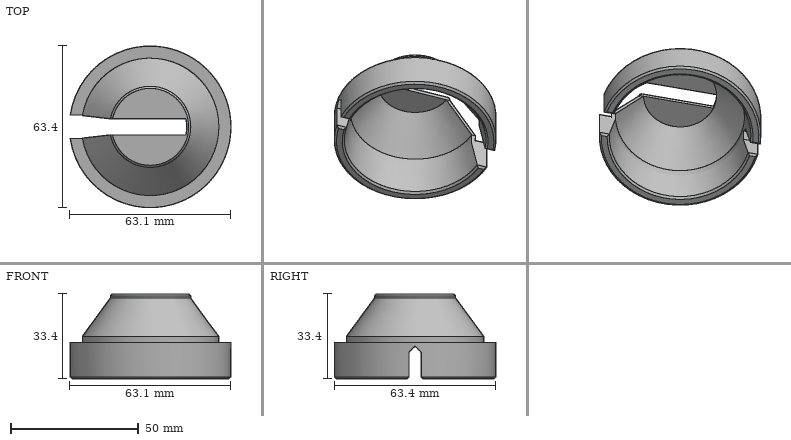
import cadquery as cq

ring_top = 14.35
collar_top = 16.7
cone_top = 31.7
cap_top = 33.35
bore_top = 12.8
edge_chamfer = 0.8

ring_radius = 31.7
collar_radius = 26.95
cap_radius = 15.9
wall = 1.6
collar_bore_radius = collar_radius - wall
neck_bore_radius = cap_radius - wall
bore_mouth_radius = 27.8

slot_half_width = 4.7
slot_top_half_width = 3.1
notch_half_width = 2.35
notch_peak = bore_top
notch_shoulder = notch_peak - notch_half_width


def revolved(profile):
    """Turn an (R, Z) outline about the Z axis."""
    return cq.Workplane("XZ").polyline(profile).close().revolve(360, (0, 0), (0, 1))


def radial_cut(outline, direction):
    """Extrude a (Y, Z) outline from the axis past the rim; direction is +1 or -1 along X."""
    return cq.Workplane("YZ").polyline(outline).close().extrude(direction * 2 * ring_radius)


def entry_slot():
    """Straight slot that narrows above the tapered bore and flares at the bottom edge."""
    right_side = [
        (slot_half_width + edge_chamfer, 0),
        (slot_half_width, edge_chamfer),
        (slot_half_width, bore_top),
        (slot_top_half_width, cone_top),
    ]
    left_side = [(-y, z) for y, z in reversed(right_side)]
    return radial_cut(right_side + left_side, -1)


def peaked_notch():
    """Narrow roofed notch with flared bottom edges."""
    right_side = [
        (notch_half_width + edge_chamfer, 0),
        (notch_half_width, edge_chamfer),
        (notch_half_width, notch_shoulder),
    ]
    left_side = [(-y, z) for y, z in reversed(right_side)]
    return radial_cut(right_side + [(0, notch_peak)] + left_side, 1)


def make_base_ring():
    """Ring and collar around a tapered bore, with all bottom edges chamfered."""
    ring = revolved([
        (bore_mouth_radius, edge_chamfer),
        (bore_mouth_radius + edge_chamfer, 0),
        (ring_radius - edge_chamfer, 0),
        (ring_radius, edge_chamfer),
        (ring_radius, ring_top),
        (collar_radius, ring_top),
        (collar_radius, collar_top),
        (collar_bore_radius, collar_top),
        (collar_bore_radius, bore_top),
    ])
    return ring.cut(entry_slot()).cut(peaked_notch())


def make_cone_shell():
    """Hollow cone between the collar and the cap, open along the entry slot."""
    shell = revolved([
        (collar_radius, collar_top),
        (cap_radius, cone_top),
        (neck_bore_radius, cone_top),
        (collar_bore_radius, collar_top),
    ])
    return shell.cut(entry_slot())


def make_cap():
    """Chamfered disc whose slot runs from the -X rim to the far side of the neck bore."""
    thickness = cap_top - cone_top
    disc = cq.Workplane("XY").workplane(offset=cone_top).circle(cap_radius).extrude(thickness)
    disc = disc.faces(">Z").edges().chamfer(edge_chamfer)
    slot_width = 2 * slot_top_half_width
    plane = cq.Workplane("XY").workplane(offset=cone_top)
    rim_slot = plane.center(-cap_radius / 2, 0).rect(cap_radius, slot_width).extrude(thickness)
    inner_strip = plane.rect(2 * cap_radius, slot_width).extrude(thickness)
    inner_slot = plane.circle(neck_bore_radius).extrude(thickness).intersect(inner_strip)
    return disc.cut(rim_slot).cut(inner_slot)


base_ring = make_base_ring()
cone_shell = make_cone_shell()
cap = make_cap()

result = cq.Compound.makeCompound([base_ring.val(), cone_shell.val(), cap.val()])